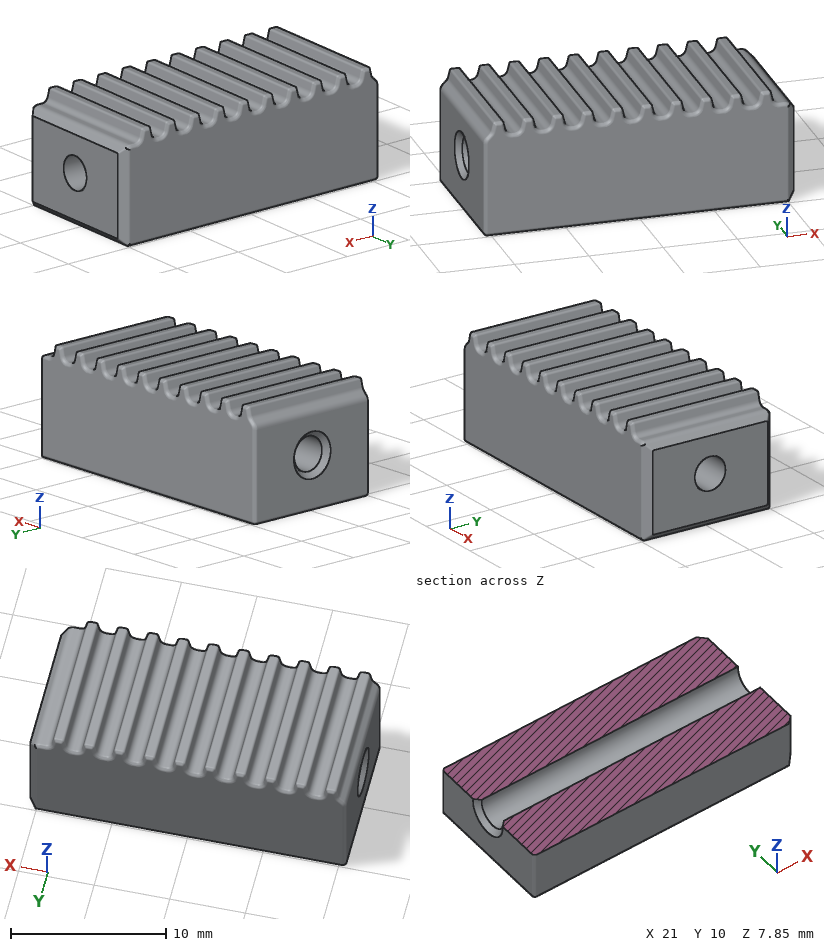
import cadquery as cq
import math

LENGTH = 21.0
WIDTH = 10.0
HEIGHT = 7.85

TOOTH_COUNT = 10
PITCHES_ALONG_LENGTH = 10.5
PITCH = LENGTH / PITCHES_ALONG_LENGTH
FIRST_TOOTH_X = PITCH / 2
TOOTH_DEPTH = 0.92
FLANK_ANGLE = math.radians(14)
ROOT_RADIUS = 0.45
ROOT_FLAT = 0.19

SLOPE_ANGLE = math.radians(45)
SHOULDER_RADIUS = 0.57
END_CHAMFER = 0.52
EDGE_BEVEL = 0.178
EDGE_RADIUS = 0.17
MARGIN = 0.02

HOLE_DIAMETER = 2.4
COUNTERSINK_DIAMETER = 3.2
COUNTERSINK_ANGLE = 90
HOLE_Z = 3.75

FLOOR_Z = HEIGHT - TOOTH_DEPTH
ROOT_CENTER_Z = FLOOR_Z + ROOT_RADIUS
ROOT_CENTER_OFFSET = (PITCH - ROOT_FLAT) / 2


def arc_point(center_x, center_z, radius, angle):
    """Point on a circle, with the angle measured from +X toward +Z."""
    return center_x + radius * math.cos(angle), center_z + radius * math.sin(angle)


def add_arc(outline, center, radius, start, end):
    """Run a line to the start of an arc, then follow the arc to its end."""
    outline = outline.lineTo(*arc_point(*center, radius, start))
    middle = arc_point(*center, radius, (start + end) / 2)
    return outline.threePointArc(middle, arc_point(*center, radius, end))


def add_tooth(outline, tooth_x, left_root_start):
    """Trace one tooth from its left root arc, over the tip, to its right root arc."""
    left_root = (tooth_x - ROOT_CENTER_OFFSET, ROOT_CENTER_Z)
    right_root = (tooth_x + ROOT_CENTER_OFFSET, ROOT_CENTER_Z)

    flank_run = (HEIGHT - ROOT_CENTER_Z) * math.tan(FLANK_ANGLE)
    half_tip = ROOT_CENTER_OFFSET - ROOT_RADIUS / math.cos(FLANK_ANGLE) - flank_run

    outline = add_arc(outline, left_root, ROOT_RADIUS, left_root_start, -FLANK_ANGLE)
    outline = outline.lineTo(tooth_x - half_tip, HEIGHT).lineTo(tooth_x + half_tip, HEIGHT)
    return add_arc(outline, right_root, ROOT_RADIUS, math.pi + FLANK_ANGLE, 3 * math.pi / 2)


def side_outline():
    """Closed XZ outline with the teeth and both end slopes."""
    slope_x, slope_z = arc_point(
        FIRST_TOOTH_X - ROOT_CENTER_OFFSET, ROOT_CENTER_Z, ROOT_RADIUS, -SLOPE_ANGLE
    )
    left_corner_z = slope_z - slope_x * math.tan(SLOPE_ANGLE)
    tangent = SHOULDER_RADIUS * math.tan(SLOPE_ANGLE / 2)
    left_center = (SHOULDER_RADIUS, left_corner_z - tangent)
    right_center = (LENGTH - END_CHAMFER - tangent, FLOOR_Z - SHOULDER_RADIUS)

    outline = cq.Workplane("XZ", origin=(0, WIDTH / 2, 0)).moveTo(0, 0)
    outline = add_arc(outline, left_center, SHOULDER_RADIUS, math.pi, math.pi - SLOPE_ANGLE)
    for index in range(TOOTH_COUNT):
        root_start = -SLOPE_ANGLE if index == 0 else -math.pi / 2
        outline = add_tooth(outline, FIRST_TOOTH_X + index * PITCH, root_start)
    outline = add_arc(outline, right_center, SHOULDER_RADIUS, math.pi / 2, math.pi / 2 - SLOPE_ANGLE)
    outline = outline.lineTo(LENGTH, FLOOR_Z - END_CHAMFER).lineTo(LENGTH, 0)
    return outline.close()


def edges_near(part, x_range, z_range):
    """Edges whose centres lie in the given X and Z ranges."""
    low = (x_range[0], -WIDTH, z_range[0])
    high = (x_range[1], WIDTH, z_range[1])
    return part.edges(cq.selectors.BoxSelector(low, high))


def end_envelope():
    """Space the bar may fill: chamfered at +X up to the groove floor, full height elsewhere."""
    block = cq.Workplane("XY").box(LENGTH, WIDTH, FLOOR_Z, centered=(False, True, False))
    block = block.faces(">X").edges().chamfer(END_CHAMFER)
    chamfer_start = LENGTH - END_CHAMFER
    chamfer_range = (chamfer_start - MARGIN, LENGTH - MARGIN)
    block = edges_near(block, chamfer_range, (-MARGIN, HEIGHT)).fillet(EDGE_RADIUS)

    toothed_length = chamfer_start - 2 * EDGE_RADIUS
    upper = cq.Workplane("XY").box(toothed_length, WIDTH, HEIGHT, centered=(False, True, False))
    return upper.union(block)


def rounded_bar():
    """Toothed bar with bevelled outer edges, then those bevels and the tooth tips rounded."""
    bar = side_outline().extrude(WIDTH)
    outer_edges = bar.faces("<Y or >Y").edges().add(bar.faces("<Z").edges("|Y and <X"))
    bar = outer_edges.chamfer(EDGE_BEVEL)

    tip_edges = bar.faces(">Z").edges("|Y")
    heel_range = (-MARGIN, EDGE_BEVEL + MARGIN)
    heel_edges = edges_near(bar, heel_range, heel_range).edges("|Y")
    return bar.edges("not(|Y)").add(tip_edges).add(heel_edges).fillet(EDGE_RADIUS)


body = rounded_bar().intersect(end_envelope())

result = (
    body.faces("<X")
    .workplane(origin=(0, 0, HOLE_Z))
    .cskHole(HOLE_DIAMETER, COUNTERSINK_DIAMETER, COUNTERSINK_ANGLE)
)